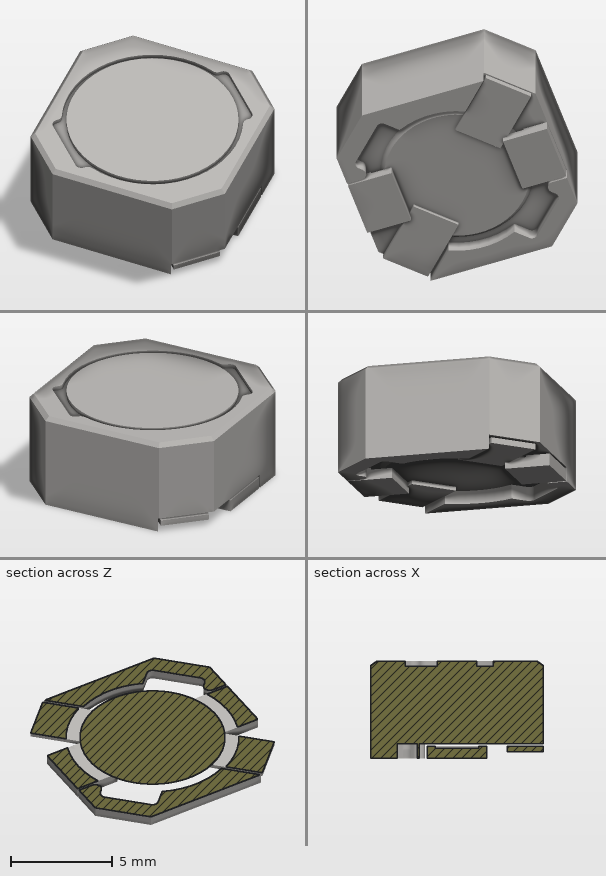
import cadquery as cq
import math

width = 10.4
height = 4.8
corner_cut = 2.01
top_chamfer = 0.21

bore_radius = 4.49
top_notch_reach = 4.72
top_notch_half_width = 1.78
top_notch_fillet = 0.31

recess_top = 0.72
recess_radius = 4.15
recess_notch_reach = 4.99
recess_notch_half_width = 1.47
recess_notch_fillet = 0.29
wall_end_fillet = 0.32

core_radius = 4.25
core_bottom = 0.51
core_bottom_radius = 3.6
gap_depth = 0.23

terminal_bottom = 0.31
terminal_top = 0.6
tab_half_width = 1.24
tab_offset = 0.07
tab_inner_end = 2.5
pad_half_width = 1.49
pad_length = 2.29
seat_radius = 4.26

pad_clearance = 0.1
tab_clearance = 0.21

half_width = width / 2
corner_reach = (width - corner_cut) / math.sqrt(2)
pad_side = pad_half_width + pad_clearance
core_taper = core_radius - core_bottom_radius


def turned(body, angle):
    """The body turned about Z."""
    return body.rotate((0, 0, 0), (0, 0, 1), angle)


def with_opposite(body):
    """The body together with its copy turned half a turn about Z."""
    return body.union(turned(body, 180))


def disc(radius, z_start, z_end):
    return cq.Workplane("XY").workplane(offset=z_start).circle(radius).extrude(z_end - z_start)


def box_along_x(x_start, x_end, half_depth, z_start, z_end):
    """Box centred on the X axis and given by its limits."""
    size = (x_end - x_start, 2 * half_depth, z_end - z_start)
    return cq.Workplane("XY").box(*size, centered=(False, True, False)).translate((x_start, 0, z_start))


def corner_notches(reach, half_width_across, fillet, z_start, z_end):
    """Bar with rounded ends that reaches into the (+X, +Y) and (-X, -Y) corners."""
    bar = box_along_x(-reach, reach, half_width_across, z_start, z_end)
    return turned(bar.edges("|Z").fillet(fillet), 45)


def octagon_prism():
    block = cq.Workplane("XY").rect(width, width).extrude(height)
    return block.edges("|Z").chamfer(corner_cut).faces(">Z").chamfer(top_chamfer)


def top_opening():
    """Bore and notches above the recess, with the notch mouths rounded into the bore."""
    bore = disc(bore_radius, recess_top, height)
    notches = corner_notches(top_notch_reach, top_notch_half_width, top_notch_fillet, recess_top, height)
    along = math.sqrt(bore_radius**2 - top_notch_half_width**2)
    opening = bore.union(notches)
    for x_side in (-1, 1):
        for y_side in (-1, 1):
            x = (x_side * along - y_side * top_notch_half_width) / math.sqrt(2)
            y = (x_side * along + y_side * top_notch_half_width) / math.sqrt(2)
            mouth = cq.selectors.NearestToPointSelector((x, y, (recess_top + height) / 2))
            opening = opening.edges("|Z").edges(mouth).fillet(top_notch_fillet)
    return opening


def terminal_clearance():
    """Space for a terminal, from beside the pad on -X round to beyond the tab in the corner."""
    slant = (tab_half_width + tab_clearance) * math.sqrt(2)
    outline = [
        (-half_width, -pad_side),
        (0, -pad_side),
        (0, slant),
        (slant - half_width, half_width),
        (-half_width, half_width),
    ]
    return cq.Workplane("XY").polyline(outline).close().extrude(recess_top)


def wall_end_rounding():
    """Sharp 45-degree tip to remove where the recess notch meets the wall end beside the +X pad."""
    tip_x = pad_side + recess_notch_half_width * math.sqrt(2)
    tangent = wall_end_fillet / math.tan(math.pi / 8)
    diagonal = tangent / math.sqrt(2)
    middle_x = tip_x + tangent - wall_end_fillet * math.cos(math.pi / 8)
    middle_y = pad_side + wall_end_fillet - wall_end_fillet * math.sin(math.pi / 8)
    outline = (
        cq.Workplane("XY")
        .moveTo(tip_x, pad_side)
        .lineTo(tip_x + tangent, pad_side)
        .threePointArc((middle_x, middle_y), (tip_x + diagonal, pad_side + diagonal))
        .close()
    )
    return outline.extrude(recess_top)


def bottom_recess():
    notches = corner_notches(
        recess_notch_reach, recess_notch_half_width, recess_notch_fillet, 0, recess_top
    )
    beside_terminals = with_opposite(terminal_clearance().union(turned(wall_end_rounding(), 180)))
    return disc(recess_radius, 0, recess_top).union(notches).union(beside_terminals)


def core():
    """Round core with a tapered lower rim."""
    return disc(core_radius, core_bottom, height).faces("<Z").chamfer(core_taper)


def terminal():
    """Pad on the -X side and tab into the (-X, +Y) corner, lowered where the core sits."""
    pad = box_along_x(-half_width, pad_length - half_width, pad_half_width, 0, terminal_top)
    tab = box_along_x(-corner_reach, -tab_inner_end, tab_half_width, terminal_bottom, terminal_top)
    shifted_tab = turned(tab.translate((0, tab_offset, 0)), -45)
    return pad.union(shifted_tab).cut(disc(seat_radius, core_bottom, terminal_top))


opening = top_opening()
shield = octagon_prism().cut(opening).cut(bottom_recess())
filling = opening.intersect(disc(width, recess_top, height - gap_depth))
result = shield.union(filling).union(core()).union(with_opposite(terminal()))